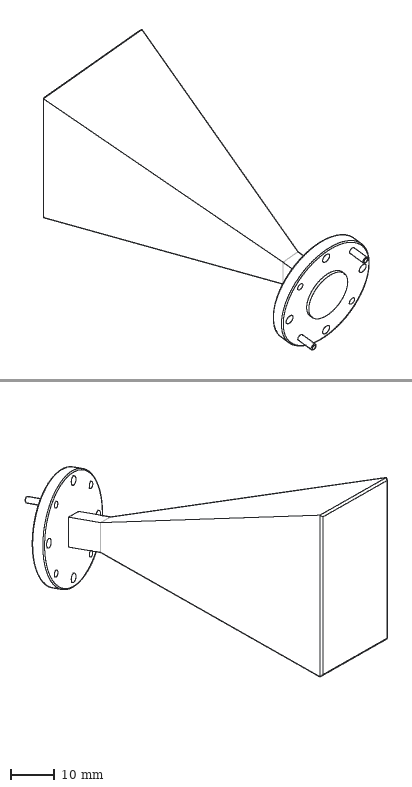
import cadquery as cq
import math

mouth_width = 32.12
mouth_height = 39.6
mouth_bevel = 0.5
throat_width = 4.88
throat_height = 7.32
throat_x = 66.2

flange_diameter = 28.575
flange_thickness = 3.3
flange_bevel = 0.3
boss_diameter = 12.7
boss_height = 0.7

bolt_circle_radius = 23.8125 / 2
screw_hole_diameter = 2.26
dowel_hole_diameter = 1.7
pin_diameter = 1.6
pin_bevel = 0.2
pin_projection = 4.6

overall_length = 82.61
mating_face_x = overall_length - pin_projection
flange_back_x = mating_face_x - flange_thickness

screw_angles = [0, 90, 180, 270]
dowel_hole_angles = [135, 315]
pin_angles = [45, 225]


def plane_at(x):
    """Plane facing +X, with its local axes along Y and Z."""
    return cq.Workplane("YZ", origin=(x, 0, 0))


def bolt_circle_points(angles):
    """Y, Z places on the bolt circle, with angles in degrees from +Y towards +Z."""
    return [
        (bolt_circle_radius * math.cos(math.radians(a)), bolt_circle_radius * math.sin(math.radians(a)))
        for a in angles
    ]


def frustum(x, width, height, length, end_width, end_height):
    """Solid between two centred rectangles, set apart along X."""
    return (
        plane_at(x)
        .rect(width, height)
        .workplane(offset=length)
        .rect(end_width, end_height)
        .loft(combine=True, ruled=True)
    )


def make_horn():
    lip = frustum(
        0,
        mouth_width - 2 * mouth_bevel,
        mouth_height - 2 * mouth_bevel,
        mouth_bevel,
        mouth_width,
        mouth_height,
    )
    taper = frustum(
        mouth_bevel,
        mouth_width,
        mouth_height,
        throat_x - mouth_bevel,
        throat_width,
        throat_height,
    )
    neck = plane_at(throat_x).rect(throat_width, throat_height).extrude(flange_back_x - throat_x)
    return lip.union(taper).union(neck)


def through_flange(angles, diameter):
    """Cylinders that pass through the full flange thickness."""
    return (
        plane_at(flange_back_x)
        .pushPoints(bolt_circle_points(angles))
        .circle(diameter / 2)
        .extrude(flange_thickness)
    )


def make_flange():
    disc = (
        plane_at(flange_back_x)
        .circle(flange_diameter / 2)
        .extrude(flange_thickness)
        .edges()
        .chamfer(flange_bevel)
    )
    boss = plane_at(mating_face_x).circle(boss_diameter / 2).extrude(boss_height)
    return (
        disc.union(boss)
        .cut(through_flange(screw_angles, screw_hole_diameter))
        .cut(through_flange(dowel_hole_angles, dowel_hole_diameter))
        .cut(through_flange(pin_angles, pin_diameter))
    )


def make_pin(y, z):
    """Alignment pin, flush with the back of the flange and bevelled at its free end."""
    return (
        plane_at(flange_back_x)
        .center(y, z)
        .circle(pin_diameter / 2)
        .extrude(flange_thickness + pin_projection)
        .faces(">X")
        .chamfer(pin_bevel)
    )


horn_with_flange = make_horn().union(make_flange())
pins = [make_pin(y, z) for y, z in bolt_circle_points(pin_angles)]

result = cq.Compound.makeCompound([horn_with_flange.val(), *[pin.val() for pin in pins]])